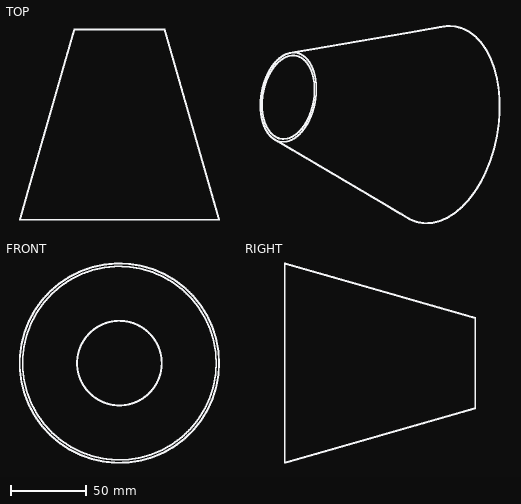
import cadquery as cq

large_diameter = 133.0
small_diameter = 60.2
length = 127.0
wall = 2.0

large_radius = large_diameter / 2
small_radius = small_diameter / 2

wall_section = (
    cq.Workplane("XY")
    .moveTo(large_radius - wall, 0)
    .lineTo(large_radius, 0)
    .lineTo(small_radius, length)
    .lineTo(small_radius - wall, length)
    .close()
)

result = wall_section.revolve(360, (0, 0, 0), (0, 1, 0))